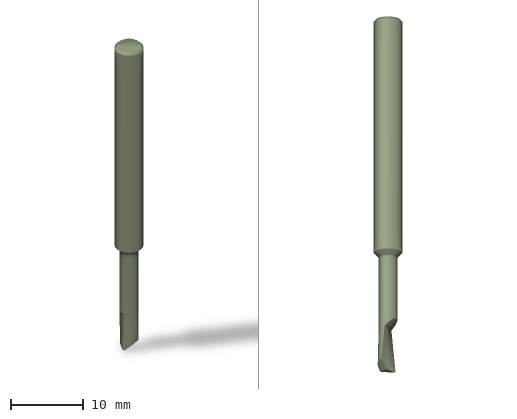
import cadquery as cq
import math


total_length = 50.0
shank_radius = 2.0
top_chamfer = 0.35
neck_radius = 1.3
shank_bottom = 16.85
neck_top = shank_bottom - (shank_radius - neck_radius)

head_length = 6.05
tip_radius = 1.45
twist_angle = 25.0
relief_angle = 81.0
section_count = 5

end_rise = 0.15
nose_x = 0.15
cutter_size = 5.0


def make_bar():
    """Revolve the chamfered shank and the plain neck."""
    profile = [
        (0, head_length),
        (neck_radius, head_length),
        (neck_radius, neck_top),
        (shank_radius, shank_bottom),
        (shank_radius, total_length - top_chamfer),
        (shank_radius - top_chamfer, total_length),
        (0, total_length),
    ]
    return cq.Workplane("XZ").polyline(profile).close().revolve(360, (0, 0), (0, 1))


def make_ramp_cutter():
    """Wedge that runs the rake face out into the neck at 45 degrees."""
    return (
        cq.Workplane("YZ", origin=(0, 0, head_length))
        .polyline([(0, 0), (cutter_size, 0), (cutter_size, cutter_size)])
        .close()
        .extrude(cutter_size, both=True)
        .rotate((0, 0, 0), (0, 0, 1), twist_angle)
    )


def head_section(height):
    """Half disc with a relief flat, turned and sized for its height."""
    fraction = height / head_length
    radius = tip_radius + (neck_radius - tip_radius) * fraction
    turn = twist_angle * fraction

    def rim_point(angle):
        direction = math.radians(angle + turn)
        return cq.Vector(radius * math.cos(direction), radius * math.sin(direction), height)

    edge = rim_point(180)
    heel = rim_point(180 + relief_angle)
    middle = rim_point(270 + relief_angle / 2)
    back = rim_point(360)
    return cq.Wire.assembleEdges([
        cq.Edge.makeLine(edge, heel),
        cq.Edge.makeThreePointArc(heel, middle, back),
        cq.Edge.makeLine(back, edge),
    ])


def make_head():
    """Loft the twisted head, then trim its sloping end and bevelled nose."""
    heights = [head_length * i / (section_count - 1) for i in range(section_count)]
    head = cq.Workplane(cq.Solid.makeLoft([head_section(height) for height in heights]))
    end_cutter = (
        cq.Workplane("XZ")
        .polyline([
            (-tip_radius, 0),
            (nose_x, end_rise),
            (nose_x + cutter_size, end_rise + cutter_size),
            (nose_x + cutter_size, -cutter_size),
            (-tip_radius, -cutter_size),
        ])
        .close()
        .extrude(cutter_size, both=True)
    )
    return head.cut(end_cutter)


result = make_bar().cut(make_ramp_cutter()).union(make_head())